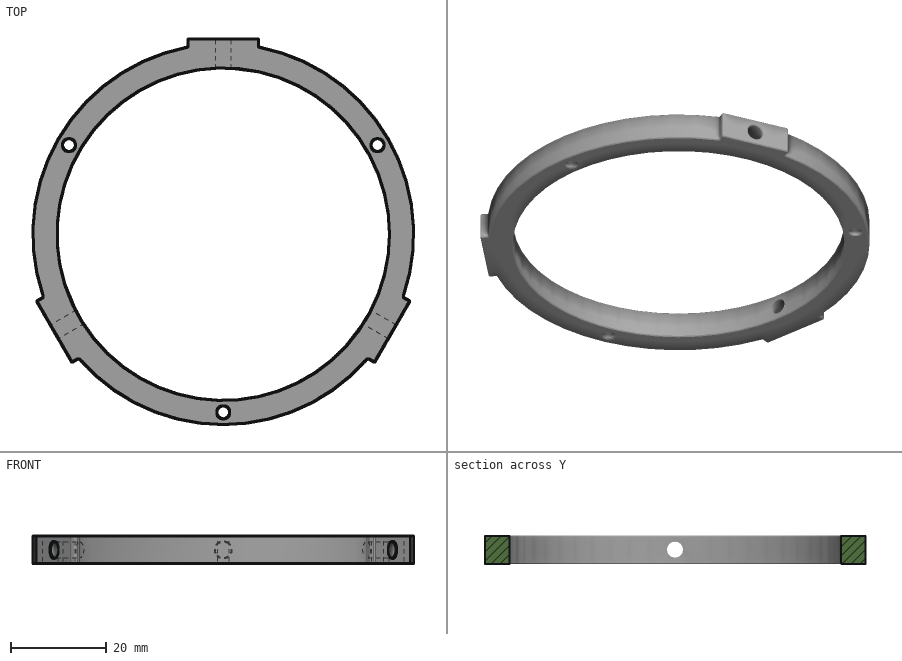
import cadquery as cq

outer_diameter = 80.0
bore_diameter = 69.5
thickness = 6.0

pad_count = 3
pad_spacing = 360 / pad_count
first_pad_angle = 90
pad_width = 15.0
pad_face_distance = 41.0
pad_corner_fillet = 0.3

radial_hole_diameter = 3.3
axial_hole_diameter = 2.5
axial_hole_circle_radius = 37.35

edge_chamfer = 0.2
edge_search_margin = 0.2


def pad_angles():
    return [first_pad_angle + i * pad_spacing for i in range(pad_count)]


def pad(angle):
    """Rectangular block from the middle of the ring wall out to the flat face."""
    inner_distance = (bore_diameter + outer_diameter) / 4
    length = pad_face_distance - inner_distance
    return (
        cq.Workplane("XY")
        .center(inner_distance + length / 2, 0)
        .rect(length, pad_width)
        .extrude(thickness)
        .rotate((0, 0, 0), (0, 0, 1), angle)
    )


def pad_edges(body, angle, distance):
    """Both upright edges of one pad lying at a given distance along its direction."""
    half_width = pad_width / 2
    reach = edge_search_margin
    selector = cq.selectors.BoxSelector(
        (distance - reach, -half_width - reach, -reach),
        (distance + reach, half_width + reach, thickness + reach),
    )
    turned = body.rotate((0, 0, 0), (0, 0, 1), -angle)
    return turned.edges("|Z").edges(selector)


def finish_pad(body, angle):
    """Round the pad's two inside corners and its two outside corners."""
    root_distance = ((outer_diameter / 2) ** 2 - (pad_width / 2) ** 2) ** 0.5
    body = pad_edges(body, angle, root_distance).fillet(pad_corner_fillet)
    body = pad_edges(body, 0, pad_face_distance).fillet(pad_corner_fillet)
    return body.rotate((0, 0, 0), (0, 0, 1), angle)


def axial_holes():
    """Through holes along Z, midway between the pads."""
    return (
        cq.Workplane("XY")
        .polarArray(axial_hole_circle_radius, first_pad_angle + pad_spacing / 2, 360, pad_count)
        .circle(axial_hole_diameter / 2)
        .extrude(thickness)
    )


def radial_hole(angle):
    """Hole through one pad and the ring wall, with a bevelled mouth on the flat face."""
    radius = radial_hole_diameter / 2
    mid_height = thickness / 2
    return (
        cq.Workplane("XZ")
        .moveTo(0, mid_height)
        .lineTo(0, mid_height + radius)
        .lineTo(pad_face_distance - edge_chamfer, mid_height + radius)
        .lineTo(pad_face_distance, mid_height + radius + edge_chamfer)
        .lineTo(pad_face_distance, mid_height)
        .close()
        .revolve(360, (0, mid_height, 0), (1, mid_height, 0))
        .rotate((0, 0, 0), (0, 0, 1), angle)
    )


body = cq.Workplane("XY").circle(outer_diameter / 2).extrude(thickness)
for angle in pad_angles():
    body = body.union(pad(angle))
for angle in pad_angles():
    body = finish_pad(body, angle)

bore = cq.Workplane("XY").circle(bore_diameter / 2).extrude(thickness)
body = body.cut(bore).cut(axial_holes())
body = body.faces("<Z or >Z").edges().chamfer(edge_chamfer)

for angle in pad_angles():
    body = body.cut(radial_hole(angle))

result = body